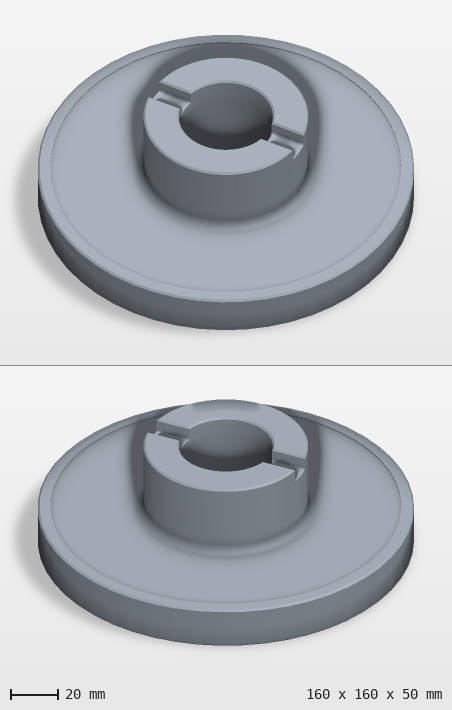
import cadquery as cq

outer_diameter = 160.0
total_height = 50.0
edge_chamfer = 0.8
rim_height = 18.4
flange_height = 18.0

hub_diameter = 70.0
bore_diameter = 40.0
hub_root_fillet = 4.0

rim_inner_diameter = 149.1

slot_width = 10.0
slot_depth = 6.4
slot_floor_fillet = 1.0


def make_hub():
    """Flanged hub with a through bore and a cross slot in its top face."""
    flange = cq.Workplane("XY").circle(rim_inner_diameter / 2).extrude(flange_height)
    boss = cq.Workplane("XY").circle(hub_diameter / 2).extrude(total_height)
    body = flange.union(boss)
    smallest_circles = cq.selectors.RadiusNthSelector(0)
    body = body.edges("%CIRCLE").edges(smallest_circles).edges("<Z").fillet(hub_root_fillet)
    body = body.cut(cq.Workplane("XY").circle(bore_diameter / 2).extrude(total_height))
    return body.cut(make_slot_cutter()).faces(">Z").edges().chamfer(edge_chamfer)


def make_slot_cutter():
    """Bar along X with rounded lower edges, which leave the slot's floor fillets."""
    return (
        cq.Workplane("XY", origin=(0, 0, total_height - slot_depth))
        .rect(outer_diameter, slot_width)
        .extrude(slot_depth)
        .edges("|X and <Z")
        .fillet(slot_floor_fillet)
    )


def make_rim():
    """Plain ring around the flange, with its outer edges chamfered."""
    disc = cq.Workplane("XY").circle(outer_diameter / 2).extrude(rim_height)
    disc = disc.edges("%CIRCLE").chamfer(edge_chamfer)
    return disc.cut(cq.Workplane("XY").circle(rim_inner_diameter / 2).extrude(rim_height))


hub = make_hub()
rim = make_rim()

result = cq.Compound.makeCompound([hub.val(), rim.val()])